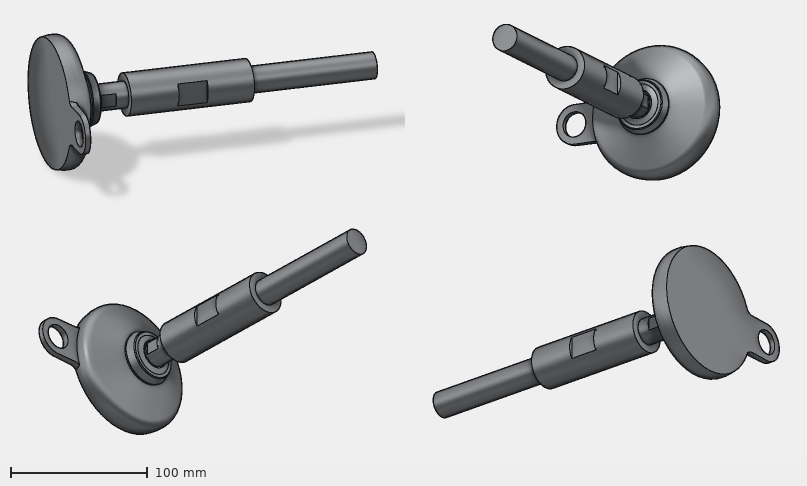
import cadquery as cq
import math

OVERALL_LENGTH = 250.0

base_radius = 49.0
base_height = 6.0
rim_radius = 50.0
rim_top = 9.0
shoulder_fillet = 7.8
cone_angle = math.radians(20)
neck_flare_radius = 21.2
neck_radius = 20.2
neck_bottom = 25.2
neck_top = 26.5
collar_radius = 21.0
collar_lip_height = 27.2
collar_top_radius = 18.8
collar_chamfer = 0.8
collar_face_height = 34.0
cap_bottom_radius = 15.5
cap_top_radius = 11.0
cap_height = 35.5

tab_half_width = 15.0
tab_hole_x = 68.0
tab_hole_diameter = 19.0
tab_root_fillet = 6.2
tab_root_thickness = 5.5
tab_tip_thickness = 4.0
tab_tip_x = tab_hole_x + tab_half_width

rod_radius = 10.0
rod_flat_offset = 8.8
rod_flat_bottom = 37.0
rod_flat_length = 11.5

sleeve_radius = 16.0
sleeve_bottom = 58.0
sleeve_length = 95.0
sleeve_flat_offset = 13.5
sleeve_flat_bottom = 94.8
sleeve_flat_length = 22.5


def make_tab():
    """Rounded lug, filleted into the base and thinning toward its tip."""
    fillet_z = tab_half_width + tab_root_fillet
    reach = base_radius + tab_root_fillet
    fillet_x = math.sqrt(reach**2 - fillet_z**2)
    angle = math.atan2(fillet_z, fillet_x)
    root_x = base_radius * math.cos(angle)
    root_z = base_radius * math.sin(angle)
    middle_angle = (angle + math.pi + 1.5 * math.pi) / 2
    middle_x = fillet_x + tab_root_fillet * math.cos(middle_angle)
    middle_z = fillet_z + tab_root_fillet * math.sin(middle_angle)

    outline = (
        cq.Workplane("XZ")
        .moveTo(0, -root_z)
        .lineTo(root_x, -root_z)
        .threePointArc((middle_x, -middle_z), (fillet_x, -tab_half_width))
        .lineTo(tab_hole_x, -tab_half_width)
        .threePointArc((tab_tip_x, 0), (tab_hole_x, tab_half_width))
        .lineTo(fillet_x, tab_half_width)
        .threePointArc((middle_x, middle_z), (root_x, root_z))
        .lineTo(0, root_z)
        .close()
        .extrude(-tab_root_thickness)
    )
    side_profile = (
        cq.Workplane("XY")
        .polyline([
            (0, 0),
            (tab_tip_x, 0),
            (tab_tip_x, tab_tip_thickness),
            (rim_radius, tab_root_thickness),
            (0, tab_root_thickness),
        ])
        .close()
        .extrude(root_z, both=True)
    )
    hole = (
        cq.Workplane("XZ")
        .center(tab_hole_x, 0)
        .circle(tab_hole_diameter / 2)
        .extrude(-tab_root_thickness)
    )
    return outline.intersect(side_profile).cut(hole)


def shoulder_point(angle):
    """Point on the shoulder arc at the given angle above the rim."""
    return (
        rim_radius - shoulder_fillet * (1 - math.cos(angle)),
        rim_top + shoulder_fillet * math.sin(angle),
    )


def make_bell():
    """Bell-shaped foot: tapered base, rounded shoulder, cone, neck and tapered collar."""
    shoulder_angle = math.pi / 2 - cone_angle
    shoulder_radius, shoulder_height = shoulder_point(shoulder_angle)
    cone_top = shoulder_height + (shoulder_radius - neck_flare_radius) * math.tan(cone_angle)
    return (
        cq.Workplane("XY")
        .lineTo(base_radius, 0)
        .lineTo(rim_radius, base_height)
        .lineTo(rim_radius, rim_top)
        .threePointArc(shoulder_point(shoulder_angle / 2), (shoulder_radius, shoulder_height))
        .lineTo(neck_flare_radius, cone_top)
        .lineTo(neck_radius, neck_bottom)
        .lineTo(neck_radius, neck_top)
        .lineTo(collar_radius, collar_lip_height)
        .lineTo(collar_top_radius, collar_face_height - collar_chamfer)
        .lineTo(collar_top_radius - collar_chamfer, collar_face_height)
        .lineTo(cap_bottom_radius, collar_face_height)
        .lineTo(cap_top_radius, cap_height)
        .lineTo(0, cap_height)
        .close()
        .revolve(360, (0, 0, 0), (0, 1, 0))
    )


def cylinder_y(radius, bottom, length):
    """Cylinder on the Y axis, rising from the given Y."""
    return cq.Workplane("XZ", origin=(0, bottom, 0)).circle(radius).extrude(-length)


def cut_wrench_flats(body, radius, offset, bottom, length):
    """Cut a pair of flats, square to X, into a cylinder of the given radius."""
    depth = radius - offset
    for side in (-1, 1):
        cutter = cq.Workplane("XY").box(depth, length, 2 * radius).translate(
            (side * (offset + depth / 2), bottom + length / 2, 0)
        )
        body = body.cut(cutter)
    return body


def make_foot():
    """Bell with its bolt-down tab and the rod that rises from it, all one piece."""
    rod = cylinder_y(rod_radius, cap_height, OVERALL_LENGTH - cap_height)
    rod = cut_wrench_flats(rod, rod_radius, rod_flat_offset, rod_flat_bottom, rod_flat_length)
    return make_bell().union(make_tab()).union(rod)


def make_sleeve():
    """Tube around the rod, with a pair of wrench flats."""
    tube = cylinder_y(sleeve_radius, sleeve_bottom, sleeve_length)
    tube = cut_wrench_flats(
        tube, sleeve_radius, sleeve_flat_offset, sleeve_flat_bottom, sleeve_flat_length
    )
    bore = cylinder_y(rod_radius, sleeve_bottom, sleeve_length)
    return tube.cut(bore)


foot = make_foot()
sleeve = make_sleeve()
result = cq.Compound.makeCompound([foot.val(), sleeve.val()])